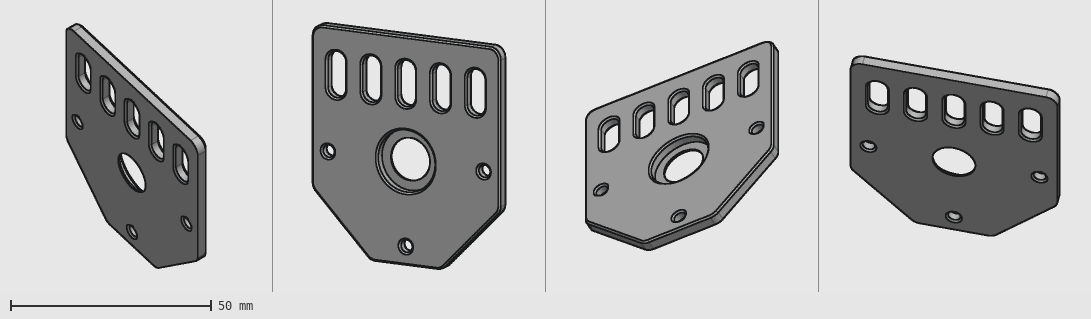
import cadquery as cq

width = 53.0
height = 59.0
thickness = 3.0
corner_cut_height = 17.0
corner_cut_width = 16.5
corner_radius = 3.0
edge_chamfer = 0.5

slot_count = 5
slot_pitch = 9.8
slot_width = 5.0
slot_length = 12.0
slot_z = height - 12.2

hub_diameter = 11.0
hub_z = height - 32.2
hub_recess_diameter = 16.0
hub_lip = 0.5

screw_diameter = 3.2
screw_circle_radius = 21.9


def make_blank():
    """Plate with rounded corners and the two lower corners cut off."""
    half_width = width / 2
    right_side = [
        (half_width - corner_cut_width, 0),
        (half_width, corner_cut_height),
        (half_width, height),
    ]
    left_side = [(-x, z) for x, z in reversed(right_side)]
    blank = cq.Workplane("XZ").polyline(right_side + left_side).close().extrude(-thickness)
    return blank.edges("|Y").fillet(corner_radius)


def cut_slots(plate):
    """Cut the row of slots through the plate."""
    middle_slot = (slot_count - 1) / 2
    centres = [((i - middle_slot) * slot_pitch, slot_z) for i in range(slot_count)]
    slots = cq.Workplane("XZ").pushPoints(centres).slot2D(slot_length, slot_width, 90).extrude(-thickness)
    return plate.cut(slots)


def cut_screw_holes(plate):
    """Cut the screw holes left, right and below the centre hole."""
    centres = [
        (-screw_circle_radius, hub_z),
        (screw_circle_radius, hub_z),
        (0, hub_z - screw_circle_radius),
    ]
    holes = cq.Workplane("XZ").pushPoints(centres).circle(screw_diameter / 2).extrude(-thickness)
    return plate.cut(holes)


def chamfer_front_rims(plate):
    """Chamfer every opening in the front face, leaving the outline sharp."""
    rims = plate.faces("<Y").val().innerWires()
    rim_edges = [edge for rim in rims for edge in rim.Edges()]
    return plate.newObject(rim_edges).chamfer(edge_chamfer)


def cut_hub(plate):
    """Cut the sharp-edged centre hole and the wider recess in the back."""
    hole = cq.Workplane("XZ").center(0, hub_z).circle(hub_diameter / 2).extrude(-thickness)
    recess_floor = cq.Workplane("XZ", origin=(0, hub_lip, hub_z))
    recess = recess_floor.circle(hub_recess_diameter / 2).extrude(hub_lip - thickness)
    return plate.cut(hole).cut(recess)


def chamfer_back(plate):
    """Chamfer the outline and every opening on the back face."""
    return plate.faces(">Y").edges().chamfer(edge_chamfer)


plate_with_holes = cut_screw_holes(cut_slots(make_blank()))
result = chamfer_back(cut_hub(chamfer_front_rims(plate_with_holes)))